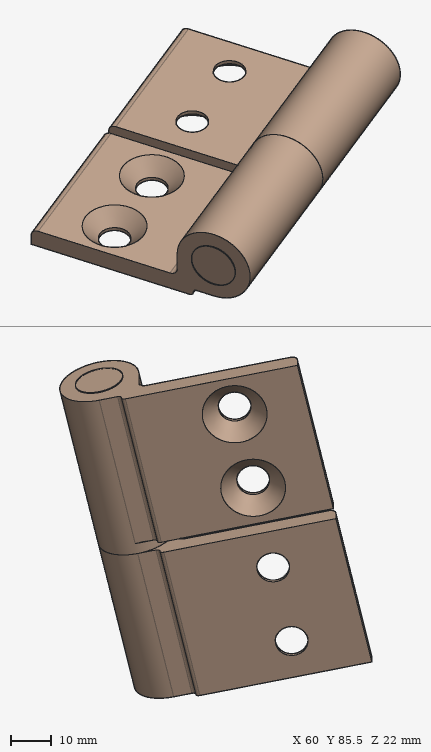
import cadquery as cq
import math

total_length = 85.5
pin_protrusion = 0.25
washer_thickness = 2.8
barrel_radius = 10.0
pin_radius = 6.0
hinge_width = 60.0
hinge_height = 22.0
plate_thickness = 5.0
corner_radius = 2.0
heel_offset = 6.6

hole_diameter = 8.0
countersink_diameter = 16.0
countersink_angle = 90
hole_edge_distance = 18.0
hole_end_distance = 10.0

leaf_length = (total_length - washer_thickness - 2 * pin_protrusion) / 2
leaf_inner_y = washer_thickness / 2
pin_end_y = total_length / 2
plate_edge_x = barrel_radius - hinge_width
plate_bottom_z = barrel_radius - hinge_height
plate_top_z = plate_bottom_z + plate_thickness
heel_height = hinge_height - 2 * barrel_radius
hole_x = plate_edge_x + hole_edge_distance
hole_distances = (
    leaf_inner_y + hole_end_distance,
    leaf_inner_y + leaf_length - hole_end_distance,
)


def axis_cylinder(radius, start_y, end_y):
    """Cylinder on the hinge axis, from start_y toward +Y up to end_y."""
    return cq.Workplane("XZ", origin=(0, start_y, 0)).circle(radius).extrude(start_y - end_y)


def leaf_blank(start_y):
    """Plate and solid barrel of one leaf, from start_y toward +Y."""
    heel_radius = heel_height / 2
    arc_reach = barrel_radius * math.sqrt(0.5)
    corner_reach = corner_radius * (1 - math.sqrt(0.5))
    return (
        cq.Workplane("XZ", origin=(0, start_y, 0))
        .moveTo(plate_edge_x, plate_bottom_z)
        .lineTo(-heel_offset, plate_bottom_z)
        .tangentArcPoint((heel_radius, heel_radius))
        .tangentArcPoint((heel_radius, heel_radius))
        .lineTo(0, -barrel_radius)
        .threePointArc((arc_reach, -arc_reach), (barrel_radius, 0))
        .threePointArc((arc_reach, arc_reach), (0, barrel_radius))
        .threePointArc((-arc_reach, arc_reach), (-barrel_radius, 0))
        .lineTo(-barrel_radius, plate_top_z + corner_radius)
        .threePointArc(
            (-barrel_radius - corner_reach, plate_top_z + corner_reach),
            (-barrel_radius - corner_radius, plate_top_z),
        )
        .lineTo(plate_edge_x + corner_radius, plate_top_z)
        .threePointArc(
            (plate_edge_x + corner_reach, plate_top_z - corner_reach),
            (plate_edge_x, plate_top_z - corner_radius),
        )
        .close()
        .extrude(-leaf_length)
    )


def drill_countersunk(leaf, side, face_plane):
    """Countersink the plate from the given plane, for the leaf on the given side of Y = 0."""
    for distance in hole_distances:
        hole_face = cq.Workplane(face_plane).center(hole_x, face_plane.yDir.y * side * distance)
        leaf = leaf.copyWorkplane(hole_face).cskHole(
            hole_diameter, countersink_diameter, countersink_angle, plate_thickness
        )
    return leaf


def make_pin_leaf():
    """Rear leaf countersunk from below, carrying the shoulder and the hinge pin."""
    plate_bottom = cq.Plane(origin=(0, 0, plate_bottom_z), xDir=(1, 0, 0), normal=(0, 0, -1))
    leaf = drill_countersunk(leaf_blank(leaf_inner_y), 1, plate_bottom)
    shoulder = axis_cylinder(barrel_radius, -leaf_inner_y, leaf_inner_y)
    pin = axis_cylinder(pin_radius, -pin_end_y, pin_end_y)
    return leaf.union(shoulder).union(pin)


def make_socket_leaf():
    """Front leaf countersunk from above, with a bore for the hinge pin."""
    plate_top = cq.Plane(origin=(0, 0, plate_top_z), xDir=(1, 0, 0), normal=(0, 0, 1))
    leaf = drill_countersunk(leaf_blank(-leaf_inner_y - leaf_length), -1, plate_top)
    return leaf.cut(axis_cylinder(pin_radius, -pin_end_y, pin_end_y))


pin_leaf = make_pin_leaf()
socket_leaf = make_socket_leaf()

result = cq.Compound.makeCompound([pin_leaf.val(), socket_leaf.val()])